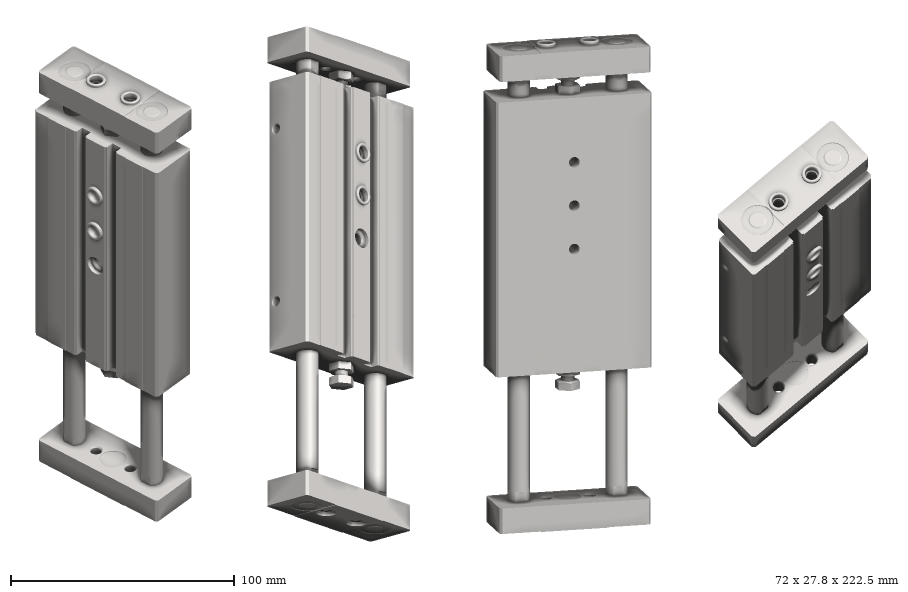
import cadquery as cq
import math


overall_length = 222.5
overall_depth = 27.8
back_y = overall_depth / 2

plate_width = 70.0
plate_depth = 25.0
plate_thickness = 12.0
plate_chamfer = 1.1
pad_width = 31.5
pad_height = 0.2
plate_center_y = back_y - plate_depth / 2
rod_diameter = 10.0
rod_offset_x = 22.7
flat_distance = 8.7
flat_length = 4.7
rod_seat_diameter = 15.0
rod_seat_floor_diameter = 14.0
rod_seat_depth = 0.5
rod_end_diameter = 8.0
rod_end_top_diameter = 7.0
rod_end_height = 0.2
stop_seat_diameter = 12.0
stop_seat_depth = 0.2

sleeve_diameter = 9.0
sleeve_bore = 6.0
sleeve_crown_height = 0.5
sleeve_protrusion = 1.5
sleeve_seat_depth = 2.0
hole_diameter = 5.0
hole_mouth_diameter = 6.0
hole_pitch = 20.0

housing_width = 72.0
housing_depth = 24.0
housing_gap = 10.0
housing_length = 126.8
housing_front_chamfer = 1.1
housing_back_chamfer = 1.0
strip_height = 0.2
slot_offset_x = 9.0
slot_width = 5.1
slot_depth = 4.5
slot_mouth_width = 6.7
slot_mouth_depth = 0.7
first_hole_drop = 29.8
port_diameter = 4.2
port_mouth_diameter = 5.0
port_depth = 6.7
port_tip_angle = 120.0
port_y = 7.0
port_pitch = 81.2

screw_diameter = 6.0
screw_engagement = 10.0
hex_across_flats = 10.0
nut_height = 3.3
head_height = 4.0
head_face_diameter = 9.0
head_bevel_height = 0.7

pad_top_z = overall_length - sleeve_protrusion
upper_plate_z = pad_top_z - plate_thickness
housing_top_z = upper_plate_z - housing_gap
housing_bottom_z = housing_top_z - housing_length
housing_mid_z = (housing_top_z + housing_bottom_z) / 2
strip_y = -back_y + sleeve_protrusion
face_y = strip_y + strip_height
housing_back_y = strip_y + housing_depth
front_hole_z = [housing_top_z - first_hole_drop - i * hole_pitch for i in range(3)]
sleeved_hole_z = front_hole_z[:2]
plate_hole_x = [-hole_pitch / 2, hole_pitch / 2]
rod_x = [-rod_offset_x, rod_offset_x]


def cylinder(diameter, height, x=0.0, y=0.0, z=0.0):
    return cq.Workplane("XY", origin=(x, y, z)).circle(diameter / 2).extrude(height)


def cone(bottom_diameter, top_diameter, height, x=0.0, z=0.0):
    solid = cq.Solid.makeCone(bottom_diameter / 2, top_diameter / 2, height, cq.Vector(x, 0, z))
    return cq.Workplane("XY").newObject([solid])


def turned_to_front(body, z):
    """Turn a body built along +Z at the origin so it faces -Y on the housing strip face."""
    return body.rotate((0, 0, 0), (1, 0, 0), 90).translate((0, strip_y, z))


def yoke_plate():
    """Upper yoke plate with its inner face on Z = 0 and its pad facing up."""
    base_thickness = plate_thickness - pad_height
    plate = (
        cq.Workplane("XY", origin=(0, plate_center_y, 0))
        .rect(plate_width, plate_depth)
        .extrude(base_thickness)
        .edges("|Z")
        .chamfer(plate_chamfer)
    )
    pad = (
        cq.Workplane("XY", origin=(0, plate_center_y, base_thickness))
        .rect(pad_width, plate_depth)
        .extrude(pad_height)
    )
    plate = plate.union(pad)
    seat_z = plate_thickness - rod_seat_depth
    for x in rod_x:
        plate = plate.cut(cone(rod_seat_floor_diameter, rod_seat_diameter, rod_seat_depth, x, seat_z))
        plate = plate.union(cone(rod_end_diameter, rod_end_top_diameter, rod_end_height, x, seat_z))
    mouth_depth = (hole_mouth_diameter - hole_diameter) / 2
    for x in plate_hole_x:
        plate = plate.cut(cylinder(hole_diameter, plate_thickness, x=x))
        plate = plate.cut(cone(hole_mouth_diameter, hole_diameter, mouth_depth, x))
        sleeve_seat_z = plate_thickness - sleeve_seat_depth
        plate = plate.cut(cylinder(sleeve_diameter, sleeve_seat_depth, x=x, z=sleeve_seat_z))
    return plate.cut(cylinder(stop_seat_diameter, stop_seat_depth))


def guide_rod(x):
    """Rod between the plates, with two wrench flats next to each plate."""
    rod_length = upper_plate_z - plate_thickness
    rod = cylinder(rod_diameter, rod_length, x=x, z=plate_thickness)
    for z in (plate_thickness + flat_length / 2, upper_plate_z - flat_length / 2):
        flat_zone = cq.Workplane("XY", origin=(x, 0, z)).box(rod_diameter, rod_diameter, flat_length)
        flat_core = cq.Workplane("XY", origin=(x, 0, z)).box(rod_diameter, flat_distance, flat_length)
        rod = rod.cut(flat_zone.cut(flat_core))
    return rod


def moving_frame():
    plate = yoke_plate()
    frame = plate.translate((0, 0, upper_plate_z))
    frame = frame.union(plate.mirror("XY").translate((0, 0, plate_thickness)))
    for x in rod_x:
        frame = frame.union(guide_rod(x))
    return frame


def housing_block():
    block = (
        cq.Workplane("XY", origin=(0, (face_y + housing_back_y) / 2, housing_bottom_z))
        .rect(housing_width, housing_back_y - face_y)
        .extrude(housing_length)
    )
    block = block.edges("|Z and <Y").chamfer(housing_front_chamfer)
    block = block.edges("|Z and >Y").chamfer(housing_back_chamfer)
    center_strip_width = 2 * slot_offset_x
    for x, width in ((-rod_offset_x, rod_diameter), (0, center_strip_width), (rod_offset_x, rod_diameter)):
        strip = (
            cq.Workplane("XY", origin=(x, strip_y + strip_height / 2, housing_bottom_z))
            .rect(width, strip_height)
            .extrude(housing_length)
        )
        block = block.union(strip)
    return block


def slot_cutter(x):
    """Straight slot along Z with a wider, shallow mouth on the strip face."""
    cutter = cq.Workplane("XY")
    for width, depth in ((slot_mouth_width, slot_mouth_depth), (slot_width, slot_depth)):
        groove = (
            cq.Workplane("XY", origin=(x, strip_y + depth / 2, housing_bottom_z))
            .rect(width, depth)
            .extrude(housing_length)
        )
        cutter = cutter.union(groove)
    return cutter


def front_hole_cutter(z):
    """Through hole with a chamfered mouth at the floor of a sleeve seat."""
    mouth_depth = (hole_mouth_diameter - hole_diameter) / 2
    mouth_z = -sleeve_seat_depth - mouth_depth
    cutter = cylinder(sleeve_diameter, sleeve_seat_depth, z=-sleeve_seat_depth)
    cutter = cutter.union(cone(hole_diameter, hole_mouth_diameter, mouth_depth, z=mouth_z))
    cutter = cutter.union(cylinder(hole_diameter, housing_depth, z=-housing_depth))
    return turned_to_front(cutter, z)


def port_cutter(z):
    """Blind drilled port in the -X side, with a chamfered mouth and a pointed end."""
    mouth_depth = (port_mouth_diameter - port_diameter) / 2
    tip_depth = port_diameter / 2 / math.tan(math.radians(port_tip_angle / 2))
    return (
        cq.Workplane("XZ", origin=(-housing_width / 2, port_y, z))
        .polyline([
            (0, 0),
            (0, port_mouth_diameter / 2),
            (mouth_depth, port_diameter / 2),
            (port_depth, port_diameter / 2),
            (port_depth + tip_depth, 0),
        ])
        .close()
        .revolve(360, (0, 0, 0), (1, 0, 0))
    )


def slide_housing():
    body = housing_block()
    for x in (-slot_offset_x, slot_offset_x):
        body = body.cut(slot_cutter(x))
    for x in rod_x:
        body = body.cut(cylinder(rod_diameter, housing_length, x=x, z=housing_bottom_z))
    for z in (housing_bottom_z, housing_top_z - screw_engagement):
        body = body.cut(cylinder(screw_diameter, screw_engagement, z=z))
    for z in front_hole_z:
        body = body.cut(front_hole_cutter(z))
    for z in (housing_mid_z - port_pitch / 2, housing_mid_z + port_pitch / 2):
        body = body.cut(port_cutter(z))
    return body


def centring_sleeve():
    """Sleeve along Z whose seat face is on Z = 0, with a crowned outer end."""
    outer_radius = sleeve_diameter / 2
    bore_radius = sleeve_bore / 2
    shoulder_z = sleeve_protrusion - sleeve_crown_height
    return (
        cq.Workplane("XZ")
        .moveTo(bore_radius, -sleeve_seat_depth)
        .lineTo(outer_radius, -sleeve_seat_depth)
        .lineTo(outer_radius, shoulder_z)
        .threePointArc(((outer_radius + bore_radius) / 2, sleeve_protrusion), (bore_radius, shoulder_z))
        .close()
        .revolve(360, (0, 0, 0), (0, 1, 0))
    )


def hexagon(height, z):
    """Hexagonal prism with corners on +Y and -Y."""
    return (
        cq.Workplane("XY", origin=(0, 0, z))
        .polygon(6, hex_across_flats, circumscribed=True)
        .extrude(height)
    )


def stop_screw():
    corner_diameter = hex_across_flats / math.cos(math.radians(30))
    head_z = housing_gap - head_height
    bevel = cone(head_face_diameter, corner_diameter, head_bevel_height, z=head_z)
    body_height = head_height - head_bevel_height
    rounding = bevel.union(cylinder(corner_diameter, body_height, z=head_z + head_bevel_height))
    head = hexagon(head_height, head_z).intersect(rounding)
    shank = cylinder(screw_diameter, screw_engagement + head_z, z=-screw_engagement)
    return head.union(shank)


def lock_nut():
    return hexagon(nut_height, 0).cut(cylinder(screw_diameter, nut_height))


def at_both_ends(body):
    """One copy on the housing top and a mirrored copy on the housing bottom."""
    upper = body.translate((0, 0, housing_top_z))
    lower = body.mirror("XY").translate((0, 0, housing_bottom_z))
    return [upper.val(), lower.val()]


frame = moving_frame()
housing = slide_housing()
plate_sleeves = [centring_sleeve().translate((x, 0, pad_top_z)).val() for x in plate_hole_x]
front_sleeves = [turned_to_front(centring_sleeve(), z).val() for z in sleeved_hole_z]
stop_screws = at_both_ends(stop_screw())
lock_nuts = at_both_ends(lock_nut())

result = cq.Compound.makeCompound([
    frame.val(),
    housing.val(),
    *plate_sleeves,
    *front_sleeves,
    *stop_screws,
    *lock_nuts,
])